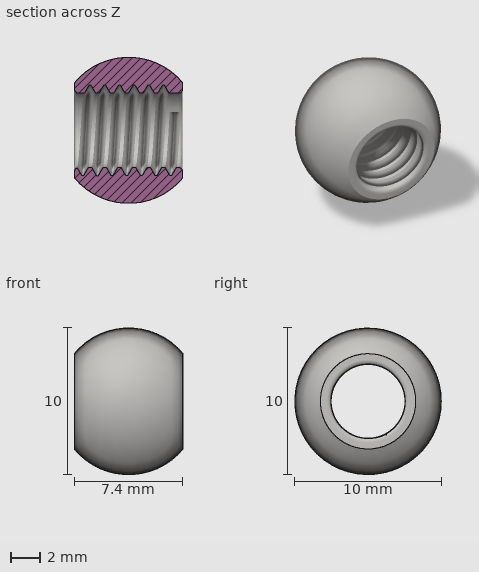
import cadquery as cq
import math

width = 7.4
outer_diameter = 10.0
face_diameter = 6.5
bore_diameter = 5.04
mouth_radius = 0.3

thread_diameter = 6.15
pitch = 1.0
crest_width = pitch / 4
flank_angle = 30.0
thread_end_margin = 0.5
start_angle = -115.0
groove_overlap = 0.05

half_width = width / 2
outer_radius = outer_diameter / 2
face_radius = face_diameter / 2
bore_radius = bore_diameter / 2
thread_radius = thread_diameter / 2


def make_body():
    """Revolve the barrel-shaped section with rounded bore mouths."""
    mouth_outer = bore_radius + mouth_radius
    mouth_inner_x = half_width - mouth_radius
    mouth_mid = mouth_radius * (1 - math.sqrt(0.5))
    section = (
        cq.Workplane("XY")
        .moveTo(-half_width, mouth_outer)
        .lineTo(-half_width, face_radius)
        .threePointArc((0, outer_radius), (half_width, face_radius))
        .lineTo(half_width, mouth_outer)
        .threePointArc((half_width - mouth_mid, bore_radius + mouth_mid), (mouth_inner_x, bore_radius))
        .lineTo(-mouth_inner_x, bore_radius)
        .threePointArc((-half_width + mouth_mid, bore_radius + mouth_mid), (-half_width, mouth_outer))
        .close()
    )
    return section.revolve(360, (0, 0, 0), (1, 0, 0))


def make_thread_groove():
    """Sweep the groove section along a right-hand helix about X."""
    length = width - 2 * thread_end_margin
    slope = math.tan(math.radians(flank_angle))
    inner_radius = bore_radius - groove_overlap
    mouth_half = (pitch - crest_width) / 2 + groove_overlap * slope
    root_half = mouth_half - (thread_radius - inner_radius) * slope
    helix = cq.Wire.makeHelix(pitch, length, bore_radius)
    groove = (
        cq.Workplane("XZ")
        .polyline([
            (inner_radius, -mouth_half),
            (thread_radius, -root_half),
            (thread_radius, root_half),
            (inner_radius, mouth_half),
        ])
        .close()
        .sweep(cq.Workplane(obj=helix), isFrenet=True)
    )
    return (
        groove.translate((0, 0, -length / 2))
        .rotate((0, 0, 0), (0, 1, 0), 90)
        .rotate((0, 0, 0), (1, 0, 0), start_angle)
    )


result = make_body().cut(make_thread_groove())